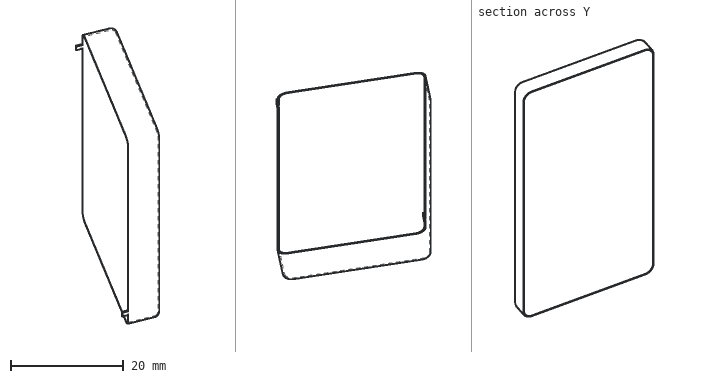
import cadquery as cq

width = 26.7
height = 52.0
depth = 6.0
wall = 0.3
corner_radius = 1.8
back_edge_radius = 1.0
tab_length = 1.2
tab_width = 1.0
tab_end_distance = 4.15

tab_z = height / 2 - tab_end_distance


def rounded_block(inset):
    """Block with rounded corners and back edge, inset evenly from the outer faces."""
    return (
        cq.Workplane("XZ")
        .rect(width - 2 * inset, height - 2 * inset)
        .extrude(-(depth - inset))
        .edges("|Y")
        .fillet(corner_radius - inset)
        .faces(">Y")
        .edges()
        .fillet(back_edge_radius - inset)
    )


def rim_tab(side):
    """Tab continuing a side wall past the rim; side is +1 for the +X wall, -1 for the -X wall."""
    wall_center_x = side * (width - wall) / 2
    return (
        cq.Workplane("XZ")
        .center(wall_center_x, -side * tab_z)
        .rect(wall, tab_width)
        .extrude(tab_length)
    )


result = rounded_block(0).cut(rounded_block(wall))

for side in (-1, 1):
    result = result.union(rim_tab(side))